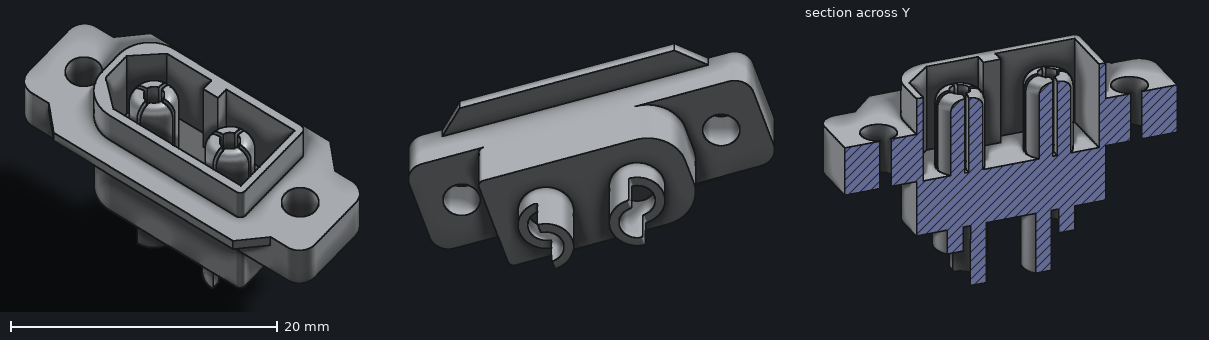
import cadquery as cq

shell_rise = 3.0
lip_thickness = 1.0
flange_thickness = 4.02
body_drop = 4.57
barrel_length = 2.0
cup_length = 3.02

shell_top = shell_rise
flange_bottom = -flange_thickness
body_bottom = flange_bottom - body_drop
cup_top = body_bottom - barrel_length
pin_bottom = cup_top - cup_length

flange_length = 27.18
flange_width = 8.0
flange_corner_radius = 1.5
lip_width = 12.0
lip_length = 20.98
mount_hole_diameter = 2.8
mount_hole_spacing = 20.5

body_length = 15.5
nose_radius = 3.0
tail_radius = 0.5

cavity_length = 14.35
cavity_width = 6.63
cavity_cut_length = 2.25
cavity_cut_width = 2.0
cavity_floor = flange_bottom
key_width = 1.4
key_depth = 1.03

pin_spacing = 7.2
pin_radius = 1.88
pin_dome_radius = 1.0
pin_bore_radius = 0.8
pin_slot_width = 0.3
pin_recess = 0.65
pin_top = shell_top - pin_recess
pin_height = pin_top - cavity_floor

barrel_radius = 2.1
cup_bore_radius = 1.35
cup_step_fillet = 0.22
cup_tip_fillet = 0.15


def make_flange():
    plate = (
        cq.Workplane("XY")
        .workplane(offset=flange_bottom)
        .rect(flange_length, flange_width)
        .extrude(flange_thickness)
        .edges("|Z")
        .fillet(flange_corner_radius)
    )
    overhang = (lip_width - flange_width) / 2
    lip = (
        cq.Workplane("XY")
        .workplane(offset=-lip_thickness)
        .rect(lip_length, lip_width)
        .extrude(lip_thickness)
        .edges("|Z")
        .chamfer(overhang)
    )
    return plate.union(lip)


def make_body():
    return (
        cq.Workplane("XY")
        .workplane(offset=body_bottom)
        .rect(body_length, flange_width)
        .extrude(shell_top - body_bottom)
        .edges("|Z and <X")
        .fillet(nose_radius)
        .edges("|Z and >X")
        .fillet(tail_radius)
    )


def make_cavity():
    half_length = cavity_length / 2
    half_width = cavity_width / 2
    cut_x = -half_length + cavity_cut_length
    cut_y = half_width - cavity_cut_width
    key_y = half_width - key_depth
    return (
        cq.Workplane("XY")
        .workplane(offset=cavity_floor)
        .moveTo(cut_x, half_width)
        .lineTo(-key_width / 2, half_width)
        .lineTo(-key_width / 2, key_y)
        .lineTo(key_width / 2, key_y)
        .lineTo(key_width / 2, half_width)
        .lineTo(half_length, half_width)
        .lineTo(half_length, -half_width)
        .lineTo(cut_x, -half_width)
        .lineTo(-half_length, -cut_y)
        .lineTo(-half_length, cut_y)
        .close()
        .extrude(shell_top - cavity_floor)
    )


def make_mount_holes():
    return (
        cq.Workplane("XY")
        .workplane(offset=flange_bottom)
        .pushPoints([(-mount_hole_spacing / 2, 0), (mount_hole_spacing / 2, 0)])
        .circle(mount_hole_diameter / 2)
        .extrude(flange_thickness)
    )


def make_contact_pin():
    """Domed hollow pin split into four prongs, standing on the cavity floor."""
    base = cq.Workplane("XY").workplane(offset=cavity_floor)
    pin = base.circle(pin_radius).extrude(pin_height).faces(">Z").edges().fillet(pin_dome_radius)
    pin = pin.cut(base.circle(pin_bore_radius).extrude(pin_height))
    pin = pin.cut(base.rect(2 * pin_radius, pin_slot_width).extrude(pin_height))
    return pin.cut(base.rect(pin_slot_width, 2 * pin_radius).extrude(pin_height))


def make_solder_cup():
    """Hollow barrel whose -X half is cut away below the step."""
    base = cq.Workplane("XY").workplane(offset=pin_bottom)
    barrel_height = body_bottom - pin_bottom
    barrel = base.circle(barrel_radius).extrude(barrel_height)
    bore = base.circle(cup_bore_radius).extrude(barrel_height)
    opening = (
        cq.Workplane("XZ")
        .moveTo(-barrel_radius, pin_bottom)
        .lineTo(cup_tip_fillet, pin_bottom)
        .radiusArc((0, pin_bottom + cup_tip_fillet), cup_tip_fillet)
        .lineTo(0, cup_top - cup_step_fillet)
        .radiusArc((-cup_step_fillet, cup_top), -cup_step_fillet)
        .lineTo(-barrel_radius, cup_top)
        .close()
        .extrude(barrel_radius, both=True)
    )
    return barrel.cut(bore).cut(opening)


result = make_flange().union(make_body()).cut(make_cavity()).cut(make_mount_holes())

left_cup = make_solder_cup().translate((-pin_spacing / 2, 0, 0))
result = result.union(left_cup).union(left_cup.mirror("YZ"))

contact_pin = make_contact_pin()
for pin_x in (-pin_spacing / 2, pin_spacing / 2):
    result = result.union(contact_pin.translate((pin_x, 0, 0)))